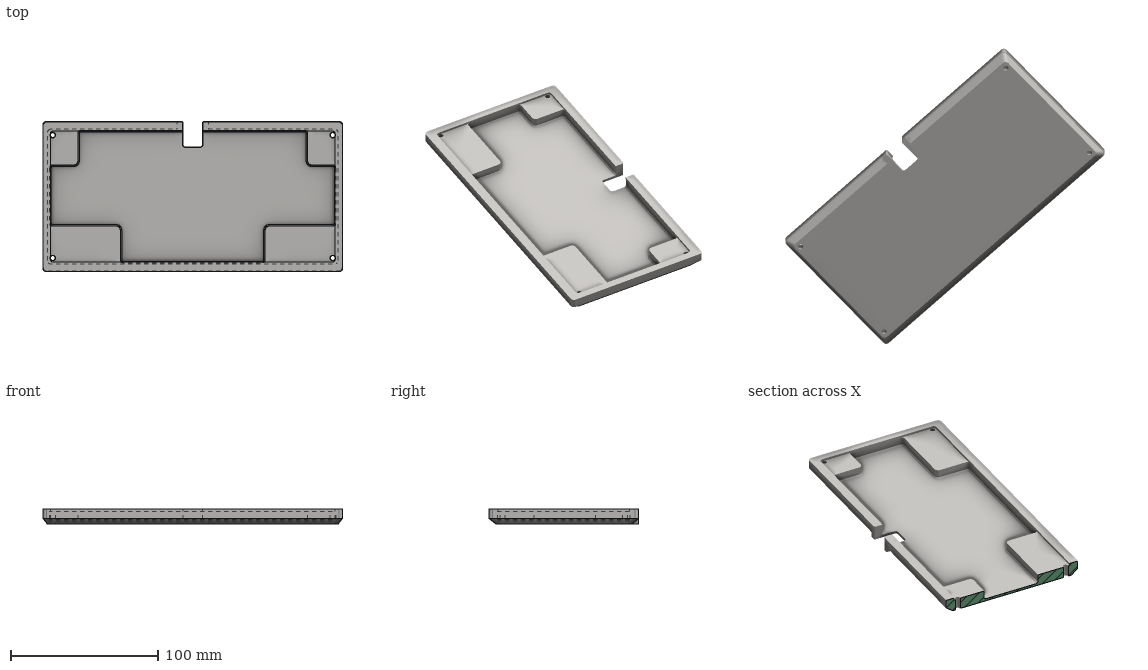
import cadquery as cq

LENGTH = 203.45
WIDTH = 101.72
HEIGHT = 10.3
CORNER_RADIUS = 2.5

SLOPE_HEIGHT = 3.9
SLOPE_LEDGE = 0.3
SLOPE_INSET_X = 3.2
SLOPE_INSET_Y = 5.1

SIDE_WALL = 5.1
END_WALL = 6.35
FLOOR = 2.0
RECESS_DEPTH = 1.6
RECESS_RADIUS = 2.2
POCKET_UNDERCUT = 0.4
POCKET_CHAMFER = 1.0
POCKET_CORNER_RADIUS = 2.0
PAD_CORNER_RADIUS = 2.8

REAR_PAD_LENGTH = 18.7
REAR_PAD_WIDTH = 23.1
FRONT_PAD_LENGTH = 47.5
FRONT_PAD_WIDTH = 24.5

HOLE_DIAMETER = 3.4
HOLE_FROM_END_FACE = 9.2

NOTCH_WIDTH = 13.5
NOTCH_DEPTH = 17.3
NOTCH_RADIUS = 1.7
NOTCH_MOUTH_RADIUS = 1.0
NOTCH_CHEEK = 4.0

CAVITY_LENGTH = LENGTH - 2 * SIDE_WALL
CAVITY_WIDTH = WIDTH - 2 * END_WALL
POCKET_LENGTH = CAVITY_LENGTH + 2 * POCKET_UNDERCUT
POCKET_WIDTH = CAVITY_WIDTH + 2 * POCKET_UNDERCUT
PAD_TOP = HEIGHT - RECESS_DEPTH
REAR_Y = WIDTH / 2
HOLE_X = CAVITY_LENGTH / 2 - HOLE_DIAMETER / 2
HOLE_Y = REAR_Y - HOLE_FROM_END_FACE


def rounded_plate(length, width, radius, bottom, top):
    """Rectangular plate with rounded vertical corners."""
    plate = cq.Workplane("XY").workplane(offset=bottom).rect(length, width).extrude(top - bottom)
    return plate.edges("|Z").fillet(radius)


def rounded_outline(length, width, radius):
    """Flat rectangle with rounded corners, used as a loft section."""
    return cq.Sketch().rect(length, width).vertices().fillet(radius)


def body():
    """Outer block whose lower part tapers inward to a smaller bottom face."""
    rim = rounded_plate(LENGTH, WIDTH, CORNER_RADIUS, SLOPE_HEIGHT, HEIGHT)
    bottom_outline = rounded_outline(LENGTH - 2 * SLOPE_INSET_X, WIDTH - 2 * SLOPE_INSET_Y, CORNER_RADIUS)
    top_outline = rounded_outline(LENGTH - 2 * SLOPE_LEDGE, WIDTH - 2 * SLOPE_LEDGE, CORNER_RADIUS)
    base = cq.Workplane("XY").placeSketch(
        bottom_outline, top_outline.moved(cq.Location(cq.Vector(0, 0, SLOPE_HEIGHT)))
    ).loft()
    return rim.union(base)


def corner_pad(length, width, side_x, side_y):
    """Block filling one pocket corner; side_x and side_y are the signs of that corner.

    The block is doubled into the walls, so that only its free corner is rounded in the pocket.
    """
    pad = cq.Workplane("XY").box(2 * length, 2 * width, PAD_TOP, centered=(True, True, False))
    pad = pad.edges("|Z").fillet(PAD_CORNER_RADIUS)
    return pad.translate((side_x * CAVITY_LENGTH / 2, side_y * CAVITY_WIDTH / 2, 0))


def pocket():
    """Deep pocket around the corner pads, undercutting the rim and chamfered along its foot."""
    floor_plane = cq.Workplane("XY").workplane(offset=FLOOR)
    deep = floor_plane.rect(POCKET_LENGTH, POCKET_WIDTH).extrude(PAD_TOP - FLOOR)
    for side_x in (-1, 1):
        deep = deep.cut(corner_pad(REAR_PAD_LENGTH, REAR_PAD_WIDTH, side_x, 1))
        deep = deep.cut(corner_pad(FRONT_PAD_LENGTH, FRONT_PAD_WIDTH, side_x, -1))
    wall_corners = deep.edges("|Z").edges("<X or >X or <Y or >Y")
    return wall_corners.fillet(POCKET_CORNER_RADIUS).faces("<Z").chamfer(POCKET_CHAMFER)


def recess():
    """Shallow recess over the whole cavity, down to the pad tops."""
    return rounded_plate(CAVITY_LENGTH, CAVITY_WIDTH, RECESS_RADIUS, PAD_TOP, HEIGHT)


def screw_holes():
    """Four through holes, each touching the side wall of the recess."""
    corners = [(x, y) for x in (-HOLE_X, HOLE_X) for y in (-HOLE_Y, HOLE_Y)]
    return cq.Workplane("XY").pushPoints(corners).circle(HOLE_DIAMETER / 2).extrude(HEIGHT)


def notch_surround():
    """Upright block that squares off the rear slope on both sides of the notch."""
    block = cq.Workplane("XY").box(
        NOTCH_WIDTH + 2 * NOTCH_CHEEK, END_WALL, HEIGHT, centered=(True, True, False)
    )
    return block.translate((0, REAR_Y - END_WALL / 2, 0))


def notch():
    """Slot open to the rear, with rounded inner corners."""
    slot = cq.Workplane("XY").box(NOTCH_WIDTH, NOTCH_DEPTH, HEIGHT, centered=(True, True, False))
    slot = slot.edges("|Z and <Y").fillet(NOTCH_RADIUS)
    return slot.translate((0, REAR_Y - NOTCH_DEPTH / 2, 0))


def round_notch_mouth(part):
    """Round the two vertical edges where the notch meets the rear side."""
    reach = NOTCH_WIDTH / 2 + NOTCH_MOUTH_RADIUS
    mouth = cq.selectors.BoxSelector(
        (-reach, REAR_Y - NOTCH_MOUTH_RADIUS, 0), (reach, REAR_Y + NOTCH_MOUTH_RADIUS, HEIGHT)
    )
    return part.edges("|Z").edges(mouth).fillet(NOTCH_MOUTH_RADIUS)


result = body().union(notch_surround()).clean()
for cutter in (recess(), pocket(), screw_holes(), notch()):
    result = result.cut(cutter)
result = round_notch_mouth(result)